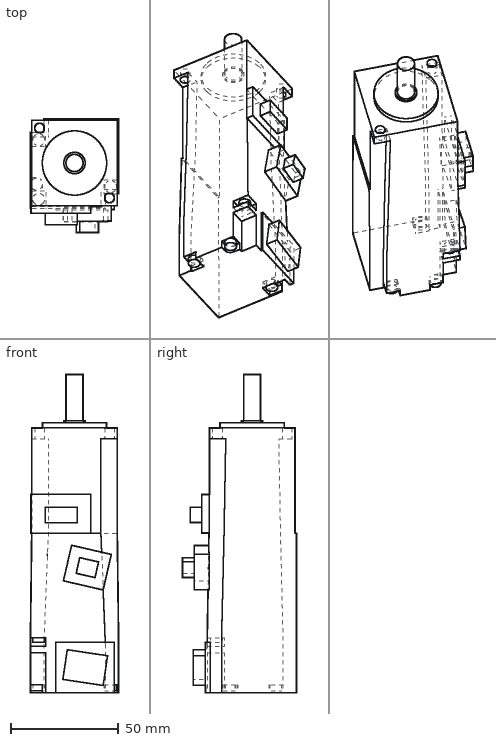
import cadquery as cq

TOTAL_HEIGHT = 148.5
SHAFT_LENGTH = 25.0
FLANGE_TOP = TOTAL_HEIGHT - SHAFT_LENGTH
FLANGE_THICKNESS = 5.0
FLANGE_BOTTOM = FLANGE_TOP - FLANGE_THICKNESS
BRAKE_TOP = 74.5
COVER_TOP = 25.8

FLANGE_SIZE = 40.0
PILOT_DIAMETER = 30.0
PILOT_HEIGHT = 2.5
COLLAR_DIAMETER = 10.0
COLLAR_HEIGHT = 0.8
SHAFT_DIAMETER = 8.0
BOLT_CIRCLE_DIAMETER = 46.0
BOLT_HOLE_DIAMETER = 4.5

COVER_HALF_X = 20.6
COVER_FRONT_Y = -21.0
COVER_BACK_Y = 20.7

NOTCH_X_AT_FLANGE = 12.3
NOTCH_Y_AT_FLANGE = 12.3
NOTCH_Y_AT_BRAKE = 13.1
NOTCH_AT_COVER = 14.25

BRAKE_TOP_FRONT_Y = -20.2

POCKET_X = -13.3
POCKET_Y = -12.9
EAR_TOP = 21.85
EAR_THICKNESS = 3.1
EAR_SCREW_X = -16.8
EAR_SCREW_Y = -16.8
EAR_HEAD_HEIGHT = 2.3

HEAD_DIAMETER = 5.5
HEAD_BOTTOM = 1.1
RECESS_WIDTH = 6.3
RECESS_HEIGHT = 3.8
RECESS_CORNER_RADIUS = 3.0
POCKET_RECESS_X = -14.95
POCKET_SCREW_X = -COVER_HALF_X + HEAD_DIAMETER / 2
POCKET_SCREW_Y = -9.75
NOTCH_SCREW_X = 16.75
NOTCH_SCREW_Y = 10.9

ENCODER_BASE = (27.8, 18.0, -23.5)
ENCODER_PLUG = (15.0, 7.2, -28.9)
ENCODER_BASE_CENTER = (-6.4, BRAKE_TOP + ENCODER_BASE[1] / 2)
ENCODER_PLUG_CENTER = (-6.2, 83.0)

BRAKE_BASE = (19.0, 17.0, -27.1)
BRAKE_PLUG = (9.0, 7.5, -32.5)
BRAKE_CONNECTOR_CENTER = (6.0, 58.4)
BRAKE_CONNECTOR_TILT = 13.0

POWER_BASE = (27.3, 23.6, -21.8)
POWER_BASE_BACK_Y = -19.6
POWER_BASE_CENTER = (4.9, POWER_BASE[1] / 2)
POWER_PLUG = (19.0, 14.0, -27.5)
POWER_PLUG_CENTER = (5.0, 11.8)
POWER_PLUG_TILT = 8.5


def box_between(x_range, y_range, z_range):
    """Box spanning the given coordinate ranges."""
    lows, highs = zip(x_range, y_range, z_range)
    sizes = [high - low for low, high in zip(lows, highs)]
    return cq.Workplane("XY").box(*sizes, centered=False).translate(tuple(lows))


def cylinder(diameter, bottom, height, center=(0, 0)):
    """Vertical cylinder standing on the given level."""
    return cq.Workplane("XY", origin=(*center, bottom)).circle(diameter / 2).extrude(height)


def notched_section(z, half_x, front_y, back_y, notch_x, notch_y):
    """Rectangular wire with two diagonally opposite corners notched."""
    corners = [
        (-half_x, front_y),
        (notch_x, front_y),
        (notch_x, -notch_y),
        (half_x, -notch_y),
        (half_x, back_y),
        (-notch_x, back_y),
        (-notch_x, notch_y),
        (-half_x, notch_y),
    ]
    return cq.Wire.makePolygon([cq.Vector(x, y, z) for x, y in corners], close=True)


def body_between(lower, upper):
    """Straight-sided body joining two notched sections."""
    return cq.Workplane(cq.Solid.makeLoft([lower, upper], True))


def flange_and_shaft():
    half_pitch = BOLT_CIRCLE_DIAMETER / 2 / 2 ** 0.5
    flange = (
        cq.Workplane("XY", origin=(0, 0, FLANGE_BOTTOM))
        .rect(FLANGE_SIZE, FLANGE_SIZE)
        .extrude(FLANGE_THICKNESS)
        .pushPoints([(-half_pitch, half_pitch), (half_pitch, -half_pitch)])
        .circle(BOLT_HOLE_DIAMETER / 2)
        .cutThruAll()
    )
    pilot = cylinder(PILOT_DIAMETER, FLANGE_TOP, PILOT_HEIGHT)
    collar = cylinder(COLLAR_DIAMETER, FLANGE_TOP, PILOT_HEIGHT + COLLAR_HEIGHT)
    shaft = cylinder(SHAFT_DIAMETER, FLANGE_TOP, SHAFT_LENGTH)
    return flange.union(pilot).union(collar).union(shaft)


def motor_section():
    half = FLANGE_SIZE / 2
    upper = notched_section(FLANGE_BOTTOM, half, -half, half, NOTCH_X_AT_FLANGE, NOTCH_Y_AT_FLANGE)
    lower = notched_section(BRAKE_TOP, half, -half, half, NOTCH_X_AT_FLANGE, NOTCH_Y_AT_BRAKE)
    return body_between(lower, upper)


def cover_section(z):
    return notched_section(
        z, COVER_HALF_X, COVER_FRONT_Y, COVER_BACK_Y, NOTCH_AT_COVER, NOTCH_AT_COVER
    )


def brake_section():
    upper = notched_section(
        BRAKE_TOP, FLANGE_SIZE / 2, BRAKE_TOP_FRONT_Y, COVER_BACK_Y, NOTCH_X_AT_FLANGE, NOTCH_Y_AT_BRAKE
    )
    return body_between(cover_section(COVER_TOP), upper)


def corner_pocket(bottom, top):
    """Block filling the front left corner of the cover between two levels."""
    return box_between((-COVER_HALF_X, POCKET_X), (COVER_FRONT_Y, POCKET_Y), (bottom, top))


def pocket_recess():
    """Screw recess open to the left face and to the corner pocket, with a rounded inner corner."""
    back_y = POCKET_SCREW_Y + RECESS_WIDTH / 2
    recess = box_between((-COVER_HALF_X, POCKET_RECESS_X), (POCKET_Y, back_y), (0, RECESS_HEIGHT))
    return recess.edges("|Z and >X and >Y").fillet(RECESS_CORNER_RADIUS)


def left_notch_recess():
    """Screw recess open to the left face and to the left-hand notch."""
    half = RECESS_WIDTH / 2
    return box_between(
        (-COVER_HALF_X, -NOTCH_SCREW_X + half),
        (NOTCH_SCREW_Y - half, NOTCH_AT_COVER),
        (0, RECESS_HEIGHT),
    )


def right_notch_recess():
    """Screw recess open to the right-hand notch but closed towards the right face."""
    half = RECESS_WIDTH / 2
    return box_between(
        (NOTCH_SCREW_X - half, NOTCH_SCREW_X + half),
        (-NOTCH_AT_COVER, -NOTCH_SCREW_Y + half),
        (0, RECESS_HEIGHT),
    )


def rear_cover():
    cover = body_between(cover_section(0), cover_section(COVER_TOP))
    cover = cover.cut(corner_pocket(EAR_TOP, COVER_TOP))
    cover = cover.cut(corner_pocket(0, EAR_TOP - EAR_THICKNESS))
    cover = cover.cut(pocket_recess())
    cover = cover.cut(left_notch_recess())
    cover = cover.cut(right_notch_recess())
    sunk_screws = [
        (POCKET_SCREW_X, POCKET_SCREW_Y),
        (-NOTCH_SCREW_X, NOTCH_SCREW_Y),
        (NOTCH_SCREW_X, -NOTCH_SCREW_Y),
    ]
    for center in sunk_screws:
        cover = cover.union(cylinder(HEAD_DIAMETER, HEAD_BOTTOM, RECESS_HEIGHT - HEAD_BOTTOM, center))
    ear_head_bottom = COVER_TOP - EAR_HEAD_HEIGHT
    ear_head = cylinder(HEAD_DIAMETER, ear_head_bottom, EAR_HEAD_HEIGHT, (EAR_SCREW_X, EAR_SCREW_Y))
    return cover.union(ear_head)


def connector_block(size, center, back_y, tilt=0):
    """Block standing on the front side, tilted in its own plane by tilt degrees."""
    width, height, face_y = size
    center_x, center_z = center
    return (
        cq.Workplane("XZ", origin=(center_x, back_y, center_z))
        .transformed(rotate=(0, 0, -tilt))
        .rect(width, height)
        .extrude(back_y - face_y)
    )


def encoder_connector():
    base = connector_block(ENCODER_BASE, ENCODER_BASE_CENTER, -FLANGE_SIZE / 2)
    return base.union(connector_block(ENCODER_PLUG, ENCODER_PLUG_CENTER, ENCODER_BASE[2]))


def brake_connector():
    base = connector_block(BRAKE_BASE, BRAKE_CONNECTOR_CENTER, -FLANGE_SIZE / 2, BRAKE_CONNECTOR_TILT)
    plug = connector_block(BRAKE_PLUG, BRAKE_CONNECTOR_CENTER, BRAKE_BASE[2], BRAKE_CONNECTOR_TILT)
    return base.union(plug)


def power_connector():
    base = connector_block(POWER_BASE, POWER_BASE_CENTER, POWER_BASE_BACK_Y)
    plug = connector_block(POWER_PLUG, POWER_PLUG_CENTER, POWER_BASE[2], POWER_PLUG_TILT)
    return base.union(plug)


result = (
    flange_and_shaft()
    .union(motor_section())
    .union(brake_section())
    .union(rear_cover())
    .union(encoder_connector())
    .union(brake_connector())
    .union(power_connector())
)